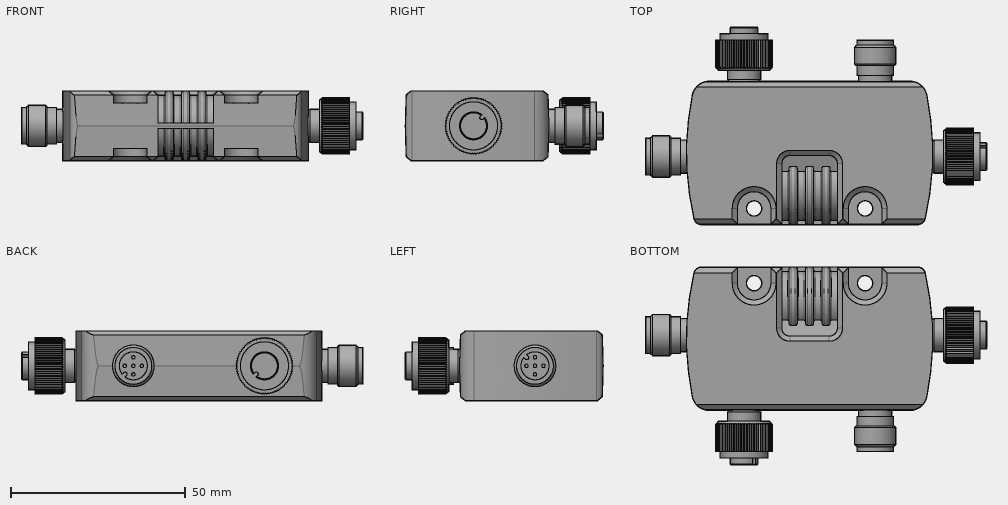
import cadquery as cq
import math


BODY_WIDTH = 70.7
BODY_DEPTH = 41.3
BODY_HEIGHT = 20.1
HALF_HEIGHT = BODY_HEIGHT / 2
SIDE_BULGE = 2.5
FRONT_CORNER_RADIUS = 2.45
BACK_CORNER_RADIUS = 5.1
DRAFT_OFFSET = 0.245
CHAMFER_RUN = 1.5
CHAMFER_DROP = 1.2
CHAMFER_BASE = HALF_HEIGHT - CHAMFER_DROP
CHAMFER_SLOPE = math.degrees(math.atan2(CHAMFER_RUN, CHAMFER_DROP))
OVERCUT = 4.9

HOLE_SPACING = 31.9
HOLE_Y = 4.7
HOLE_DIAMETER = 4.3
SEAT_WIDTH = 9.6
SEAT_DEPTH = 3.5

RECESS_WIDTH = 16.0
RECESS_BACK = 19.9
RECESS_CORNER_RADIUS = 2.4
WEB_THICKNESS = 1.6
RIB_RADIUS = 10.0
DRUM_Y = RIB_RADIUS
RIB_HEIGHT = 1.3
DRUM_RADIUS = RIB_RADIUS - RIB_HEIGHT
RIB_COUNT = 3
RIB_PITCH = 4.7
RIB_CREST = 1.2
RIB_TOP_FILLET = 0.6
RIB_FOOT_FILLET = 0.4
FLOOR_HEIGHT = 8.1
FLOOR_SLOPE = 15.0

CONNECTOR_Y = 19.6
CONNECTOR_X = 18.8
EMBED = 2.9
NECK_DIAMETER = 9.6
KEY_DIAMETER = 1.2
KEY_CENTER_RADIUS = 3.3
KEY_OVERLAP = 0.3

MALE_LENGTH = 11.8
MALE_DIAMETER = 10.6
MALE_COLLAR_DIAMETER = 12.0
MALE_COLLAR_START = 4.4
MALE_COLLAR_END = 10.4
MALE_COLLAR_FRONT_CHAMFER = 0.7
MALE_COLLAR_REAR_CHAMFER = 0.5
MALE_NECK_LENGTH = 1.7
MALE_BORE_DIAMETER = 8.0
MALE_BORE_DEPTH = 7.8
PIN_DIAMETER = 1.0
PIN_CIRCLE_RADIUS = 2.45
PIN_ROOT = 1.0
PIN_RECESS = 2.3

FEMALE_LENGTH = 15.6
FEMALE_ROOT_DIAMETER = 9.2
FEMALE_ROOT_LENGTH = 0.4
NUT_START = 3.0
NUT_END = 11.8
NUT_DIAMETER = 16.3
NUT_TEETH = 72
NUT_TOOTH_DEPTH = 0.3
NUT_CHAMFER_LENGTH = 1.0
NUT_CHAMFER_DEPTH = 0.8
RING_DIAMETER = 13.8
RING_END = 13.6
INSERT_DIAMETER = 8.0
INSERT_CHAMFER = 0.3


def yz_extrusion(points, width):
    """Prism along X, centred on X = 0, from an outline of (y, z) points."""
    return cq.Workplane("YZ").polyline(points).close().extrude(width / 2, both=True)


def body_block():
    corner_x = BODY_WIDTH / 2 - SIDE_BULGE
    middle_y = BODY_DEPTH / 2
    plan = (
        cq.Workplane("XY", origin=(0, 0, -HALF_HEIGHT))
        .moveTo(-corner_x, 0)
        .lineTo(corner_x, 0)
        .threePointArc((BODY_WIDTH / 2, middle_y), (corner_x, BODY_DEPTH))
        .lineTo(-corner_x, BODY_DEPTH)
        .threePointArc((-BODY_WIDTH / 2, middle_y), (-corner_x, 0))
        .close()
        .extrude(BODY_HEIGHT)
        .edges("|Z and <Y").fillet(FRONT_CORNER_RADIUS)
        .edges("|Z and >Y").fillet(BACK_CORNER_RADIUS)
    )
    front_upper = [(0, 0), (DRAFT_OFFSET, CHAMFER_BASE), (DRAFT_OFFSET + CHAMFER_RUN, HALF_HEIGHT)]
    back_upper = [(BODY_DEPTH - y, z) for y, z in reversed(front_upper)]
    upper = front_upper + back_upper
    lower = [(y, -z) for y, z in reversed(upper[1:-1])]
    return plan.intersect(yz_extrusion(upper + lower, BODY_WIDTH))


def chamfered_pocket(outline, floor_z):
    """Pocket cutter from floor_z to the top face, widening at the top."""
    straight = cq.Workplane("XY", origin=(0, 0, floor_z)).placeSketch(outline)
    straight = straight.extrude(CHAMFER_BASE - floor_z)
    flare = cq.Workplane("XY", origin=(0, 0, CHAMFER_BASE)).placeSketch(outline)
    flare = flare.extrude(CHAMFER_DROP, taper=-CHAMFER_SLOPE)
    return straight.union(flare)


def seat_cutter():
    length = HOLE_Y + OVERCUT
    outline = (
        cq.Sketch()
        .push([(0, HOLE_Y - length / 2)]).rect(SEAT_WIDTH, length)
        .reset().push([(0, HOLE_Y)]).circle(SEAT_WIDTH / 2)
        .clean()
    )
    return chamfered_pocket(outline, HALF_HEIGHT - SEAT_DEPTH)


def ribbed_drum():
    """Drum along X with rounded ribs, as a profile turned about its own axis."""
    crest = RIB_CREST / 2
    flank = crest + RIB_TOP_FILLET
    foot = flank + RIB_FOOT_FILLET
    shoulder = RIB_RADIUS - RIB_TOP_FILLET
    fillet_top = DRUM_RADIUS + RIB_FOOT_FILLET
    bend = math.sqrt(0.5)
    end = RECESS_WIDTH / 2
    profile = cq.Workplane("XY").moveTo(-end, 0).lineTo(-end, DRUM_RADIUS)
    for index in range(RIB_COUNT):
        x = (index - (RIB_COUNT - 1) / 2) * RIB_PITCH
        foot_mid = (foot - RIB_FOOT_FILLET * bend, fillet_top - RIB_FOOT_FILLET * bend)
        top_mid = (crest + RIB_TOP_FILLET * bend, shoulder + RIB_TOP_FILLET * bend)
        profile = (
            profile.lineTo(x - foot, DRUM_RADIUS)
            .threePointArc((x - foot_mid[0], foot_mid[1]), (x - flank, fillet_top))
            .lineTo(x - flank, shoulder)
            .threePointArc((x - top_mid[0], top_mid[1]), (x - crest, RIB_RADIUS))
            .lineTo(x + crest, RIB_RADIUS)
            .threePointArc((x + top_mid[0], top_mid[1]), (x + flank, shoulder))
            .lineTo(x + flank, fillet_top)
            .threePointArc((x + foot_mid[0], foot_mid[1]), (x + foot, DRUM_RADIUS))
        )
    profile = profile.lineTo(end, DRUM_RADIUS).lineTo(end, 0).close()
    return profile.revolve(360, (0, 0, 0), (1, 0, 0)).translate((0, DRUM_Y, 0))


def recess_cutter():
    length = RECESS_BACK + OVERCUT
    outline = (
        cq.Sketch()
        .push([(0, RECESS_BACK - length / 2)]).rect(RECESS_WIDTH, length)
        .reset().vertices(">Y").fillet(RECESS_CORNER_RADIUS)
    )
    pocket = chamfered_pocket(outline, WEB_THICKNESS / 2)
    floor_fall = (RECESS_BACK - DRUM_Y) * math.tan(math.radians(FLOOR_SLOPE))
    floor_points = [
        (DRUM_Y, 0),
        (RECESS_BACK, 0),
        (RECESS_BACK, FLOOR_HEIGHT),
        (DRUM_Y, FLOOR_HEIGHT - floor_fall),
    ]
    return pocket.cut(yz_extrusion(floor_points, RECESS_WIDTH)).cut(ribbed_drum())


def rod(diameter, start, end, x=0.0, y=0.0):
    """Cylinder along Z between two heights."""
    return cq.Workplane("XY", origin=(x, y, start)).circle(diameter / 2).extrude(end - start)


def key_bar(angle, start, end):
    """Round-nosed bar running radially outwards at the given angle."""
    reach = INSERT_DIAMETER / 2 - KEY_CENTER_RADIUS + KEY_OVERLAP
    bar = (
        cq.Workplane("XY", origin=(0, 0, start))
        .center(KEY_CENTER_RADIUS + reach / 2, 0).rect(reach, KEY_DIAMETER).extrude(end - start)
    )
    bar = bar.union(rod(KEY_DIAMETER, start, end, x=KEY_CENTER_RADIUS))
    return bar.rotate((0, 0, 0), (0, 0, 1), angle)


def male_connector(key_angle):
    """Pin connector pointing along +Z, with the body wall at Z = 0."""
    collar = rod(MALE_COLLAR_DIAMETER, MALE_COLLAR_START, MALE_COLLAR_END)
    collar = collar.faces(">Z").chamfer(MALE_COLLAR_FRONT_CHAMFER)
    collar = collar.faces("<Z").chamfer(MALE_COLLAR_REAR_CHAMFER)
    bore_floor = MALE_LENGTH - MALE_BORE_DEPTH
    shell = (
        rod(NECK_DIAMETER, -EMBED, MALE_LENGTH)
        .union(rod(MALE_DIAMETER, MALE_NECK_LENGTH, MALE_LENGTH))
        .union(collar)
        .cut(rod(MALE_BORE_DIAMETER, bore_floor, MALE_LENGTH))
        .union(key_bar(key_angle, bore_floor, MALE_LENGTH))
    )
    pin_places = [(0, 0)]
    for quarter in range(4):
        angle = quarter * math.pi / 2
        pin_places.append((PIN_CIRCLE_RADIUS * math.cos(angle), PIN_CIRCLE_RADIUS * math.sin(angle)))
    for x, y in pin_places:
        shell = shell.union(rod(PIN_DIAMETER, bore_floor - PIN_ROOT, MALE_LENGTH - PIN_RECESS, x, y))
    return shell


def knurled_nut():
    """Nut with V-shaped teeth all round and a chamfered rear end."""
    outer = NUT_DIAMETER / 2
    points = []
    for index in range(2 * NUT_TEETH):
        angle = index * math.pi / NUT_TEETH
        radius = outer - NUT_TOOTH_DEPTH * (index % 2)
        points.append((radius * math.cos(angle), radius * math.sin(angle)))
    toothed = cq.Workplane("XY", origin=(0, 0, NUT_START)).polyline(points).close()
    toothed = toothed.extrude(NUT_END - NUT_START)
    envelope = (
        rod(NUT_DIAMETER, NUT_START, NUT_END)
        .faces("<Z").chamfer(NUT_CHAMFER_LENGTH, NUT_CHAMFER_DEPTH)
    )
    return toothed.intersect(envelope)


def female_connector(key_angle):
    """Socket connector with a knurled nut, along +Z, with the body wall at Z = 0."""
    insert = rod(INSERT_DIAMETER, RING_END, FEMALE_LENGTH).faces(">Z").chamfer(INSERT_CHAMFER)
    insert = insert.cut(key_bar(key_angle, RING_END, FEMALE_LENGTH))
    return (
        rod(FEMALE_ROOT_DIAMETER, -EMBED, FEMALE_ROOT_LENGTH)
        .union(rod(NECK_DIAMETER, FEMALE_ROOT_LENGTH, NUT_START))
        .union(knurled_nut())
        .union(rod(RING_DIAMETER, NUT_END, RING_END))
        .union(insert)
    )


def on_side(connector, direction):
    """Turn a +Z connector to point along +X or -X and seat it on that side."""
    turned = connector.rotate((0, 0, 0), (0, 1, 0), 90 * direction)
    return turned.translate((direction * BODY_WIDTH / 2, CONNECTOR_Y, 0))


def on_back(connector, x):
    """Turn a +Z connector to point along +Y and seat it on the back face."""
    turned = connector.rotate((0, 0, 0), (1, 0, 0), -90)
    return turned.translate((x, BODY_DEPTH, 0))


result = body_block()

pockets = [recess_cutter()]
for hole_x in (-HOLE_SPACING / 2, HOLE_SPACING / 2):
    pockets.append(seat_cutter().translate((hole_x, 0, 0)))
    result = result.cut(rod(HOLE_DIAMETER, -HALF_HEIGHT, HALF_HEIGHT, hole_x, HOLE_Y))
for pocket in pockets:
    result = result.cut(pocket).cut(pocket.mirror("XY"))

result = result.union(on_side(male_connector(45), -1))
result = result.union(on_side(female_connector(135), 1))
result = result.union(on_back(female_connector(45), -CONNECTOR_X))
result = result.union(on_back(male_connector(45), CONNECTOR_X))